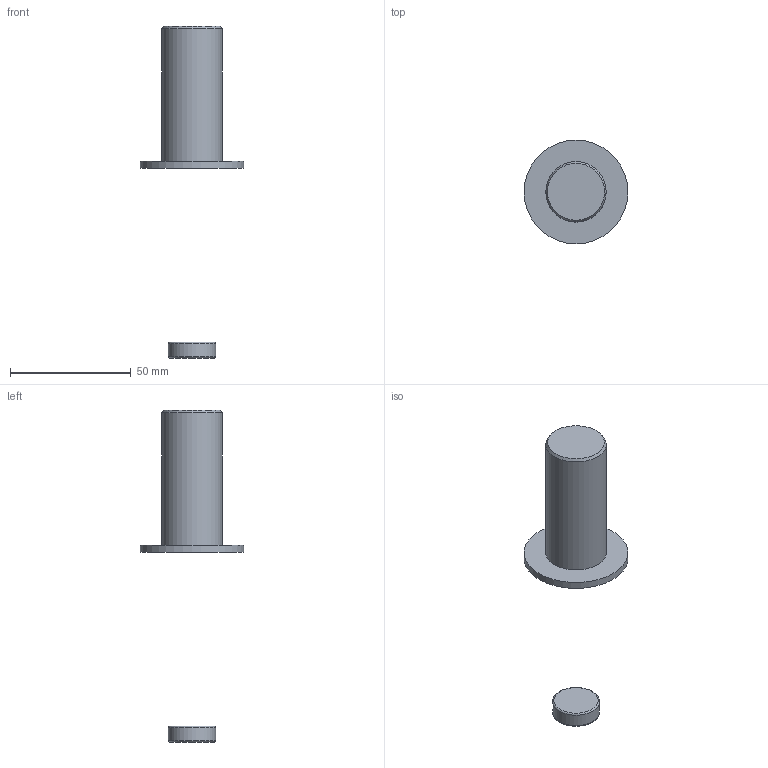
import cadquery as cq

flange_diameter = 43.0
flange_thickness = 3.0
shank_diameter = 25.0
pin_height = 59.0
tip_chamfer_height = 1.2
tip_chamfer_width = 0.7

disc_diameter = 19.5
disc_thickness = 6.5
disc_rim_radius = 0.6
overall_height = 137.5
disc_bottom = pin_height - overall_height


def make_flanged_pin():
    """Thin flange with a round shank on it, chamfered steeply at its tip."""
    flange_radius = flange_diameter / 2
    shank_radius = shank_diameter / 2
    tip_radius = shank_radius - tip_chamfer_width
    half_profile = [
        (0, 0),
        (flange_radius, 0),
        (flange_radius, flange_thickness),
        (shank_radius, flange_thickness),
        (shank_radius, pin_height - tip_chamfer_height),
        (tip_radius, pin_height),
        (0, pin_height),
    ]
    return cq.Workplane("XZ").polyline(half_profile).close().revolve(360, (0, 0), (0, 1))


def make_disc():
    """Short round disc with both rims rounded."""
    return (
        cq.Workplane("XY")
        .workplane(offset=disc_bottom)
        .circle(disc_diameter / 2)
        .extrude(disc_thickness)
        .faces("<Z or >Z")
        .fillet(disc_rim_radius)
    )


flanged_pin = make_flanged_pin()
disc = make_disc()

result = cq.Compound.makeCompound([flanged_pin.val(), disc.val()])